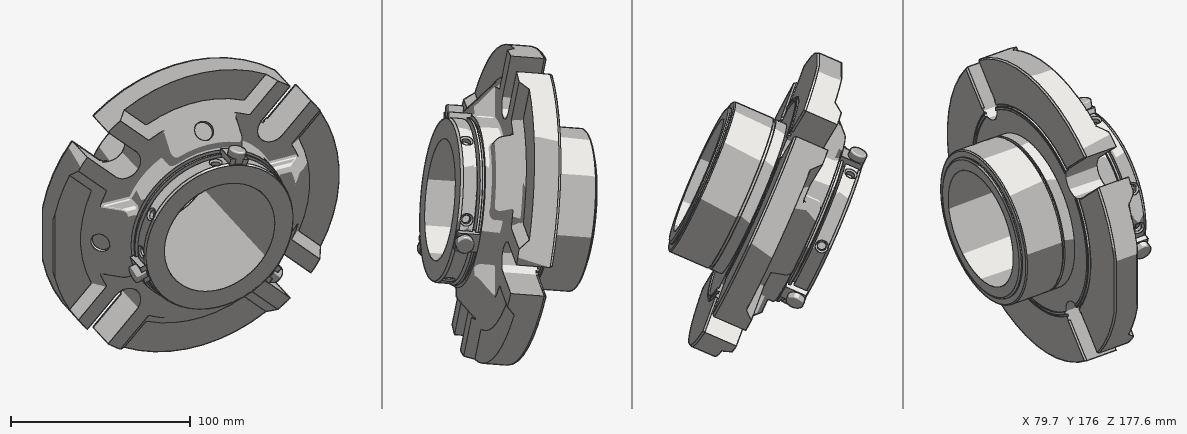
import cadquery as cq
import math

total_length = 79.7

bore_diameter = 68.0
lip_diameter = 82.5
lip_end_diameter = 80.3
lip_length = 1.6
neck_diameter = 90.7
pilot_diameter = 90.5
neck_chamfer = 0.7
neck_groove_diameter = 87.5
neck_groove_start = 25.2
neck_groove_width = 1.6

flange_radius = 88.8
flange_front = 33.2
flange_back = 48.5
flange_chamfer_length = 1.2
flange_chamfer_depth = 0.5
flat_distance = 87.2
flat_back_chamfer = 0.9
slot_angles = [45, 135, 225, 315]
slot_radius = 9.0
slot_end_distance = 63.7

gasket_inner_radius = 59.1
gasket_outer_radius = 60.7
gasket_groove_radius = 62.0
gasket_groove_depth = 0.9
gasket_height = 0.9
gasket_chamfer = 0.4

pad_face = 53.6
pad_base_half_width = 23.8
pad_face_half_width = 18.3

body_radius = 48.0
body_end = 66.0
body_root_fillet = 1.6
cone_radius_at_pad = 64.8
cone_root_fillet = 1.2
pad_corner_fillet = 1.8
lobe_half_width = 22.0
lobe_corner_fillet = 3.9
lobe_edge_fillet = 0.9
lobe_end = 65.7
short_lobe_end = 62.1
lobe_ends = {0: short_lobe_end, 90: lobe_end, 180: lobe_end, 270: lobe_end}

port_diameter = 11.0
port_depth = 2.3
ports = {90: 60.0, 180: 56.3}

spacer_end = 67.3
spacer_radius = 45.8
disc_end = 68.7
disc_diameter = 93.5
rear_ring_end = 69.5
rear_ring_diameter = 81.0
sleeve_diameter = 73.0

collar_start = 70.3
collar_diameter = 92.0
collar_taper_length = 1.6
collar_front_taper = 0.2
collar_back_taper = 0.7
screw_x = 74.7
screw_angles = [30, 90, 150, 180, 210, 270, 330]
screw_hole_diameter = 5.0
screw_sink_diameter = 7.5
screw_sink_depth = 1.0
screw_hole_depth = 3.5
slotted_screw_angle = 180
driver_slot_width = 0.9
driver_slot_depth = 0.7

clip_angles = [75, 195, 315]
clip_start = 66.4
clip_end = 79.2
clip_width = 11.2
clip_top = 48.8
clip_leg_bottom = 43.5
clip_head_diameter = 10.0
clip_head_top = 52.9
clip_head_fillet = 0.9

bore_radius = bore_diameter / 2
beyond_rim_radius = flange_radius + 1.8
collar_radius = collar_diameter / 2


def turned(points):
    """Solid of revolution about X from (x, radius) points."""
    return cq.Workplane("XY").polyline(points).close().revolve(360, (0, 0, 0), (1, 0, 0))


def ring(start, end, outer, inner=bore_radius):
    """Plain ring between two X positions."""
    return turned([(start, inner), (start, outer), (end, outer), (end, inner)])


def about_axis(solid, angle):
    """Solid turned about X by an angle in degrees."""
    return solid.rotate((0, 0, 0), (1, 0, 0), angle)


def radial_bar(points, inner, outer):
    """Bar along +Y from radius inner to outer, with an (x, z) cross-section."""
    plane = cq.Workplane("XZ", origin=(0, inner, 0))
    return plane.polyline(points).close().extrude(inner - outer)


def cone_radius(x):
    """Radius of the 45-degree gland cone."""
    return cone_radius_at_pad + pad_face - x


def make_sleeve():
    neck_radius = neck_diameter / 2
    pilot_radius = pilot_diameter / 2
    groove_radius = neck_groove_diameter / 2
    groove_end = neck_groove_start + neck_groove_width
    return turned([
        (0, bore_radius),
        (0, lip_end_diameter / 2),
        (lip_length / 2, lip_diameter / 2),
        (lip_length, lip_diameter / 2),
        (lip_length, neck_radius - neck_chamfer),
        (lip_length + neck_chamfer, neck_radius),
        (neck_groove_start, neck_radius),
        (neck_groove_start, groove_radius),
        (groove_end, groove_radius),
        (groove_end, pilot_radius),
        (flange_back, pilot_radius),
        (flange_back, sleeve_diameter / 2),
        (total_length, sleeve_diameter / 2),
        (total_length, bore_radius),
    ])


def make_pads():
    """Tapered pads across the slot directions, trimmed to the flange rim."""
    section = [
        (flange_back, -pad_base_half_width),
        (pad_face, -pad_face_half_width),
        (pad_face, pad_face_half_width),
        (flange_back, pad_base_half_width),
    ]
    bar = radial_bar(section, bore_radius, beyond_rim_radius)
    rim = ring(flange_back, pad_face, flange_radius)
    pads = about_axis(bar, slot_angles[0])
    for angle in slot_angles[1:]:
        pads = pads.union(about_axis(bar, angle))
    return pads.intersect(rim)


def make_flange():
    rim_edge = flange_radius - flange_chamfer_depth
    disc = turned([
        (flange_front, bore_radius),
        (flange_front, rim_edge),
        (flange_front + flange_chamfer_length, flange_radius),
        (flange_back, flange_radius),
        (flange_back, bore_radius),
    ])
    groove_floor = flange_front + gasket_groove_depth
    groove = ring(flange_front, groove_floor, gasket_groove_radius, gasket_inner_radius)
    gasket_top = flange_front - gasket_height
    gasket = turned([
        (gasket_top, gasket_inner_radius),
        (gasket_top, gasket_outer_radius - gasket_chamfer),
        (gasket_top + gasket_chamfer, gasket_outer_radius),
        (groove_floor, gasket_outer_radius),
        (groove_floor, gasket_inner_radius),
    ])
    flange = disc.union(make_pads()).cut(groove).union(gasket)

    flat_edge = flange_chamfer_depth - flat_distance
    beyond_rim = -beyond_rim_radius
    flat_cutter = cq.Workplane("XY").polyline([
        (flange_front, beyond_rim),
        (flange_front, flat_edge),
        (flange_front + flange_chamfer_length, -flat_distance),
        (flange_back - flat_back_chamfer, -flat_distance),
        (flange_back, flat_back_chamfer - flat_distance),
        (pad_face, flat_back_chamfer - flat_distance),
        (pad_face, beyond_rim),
    ]).close().extrude(flange_radius, both=True)
    return flange.cut(flat_cutter)


def cut_slots(solid):
    """Round-ended bolt slots, open at the rim and chamfered on the flange front."""
    cut_start = flange_front - gasket_height
    end = cq.Workplane("YZ", origin=(cut_start, slot_end_distance, 0)).circle(slot_radius)
    cutter = end.extrude(pad_face - cut_start)
    side = slot_radius + flange_chamfer_depth
    chamfered_channel = [
        (cut_start, -side),
        (flange_front, -side),
        (flange_front + flange_chamfer_length, -slot_radius),
        (pad_face, -slot_radius),
        (pad_face, slot_radius),
        (flange_front + flange_chamfer_length, slot_radius),
        (flange_front, side),
        (cut_start, side),
    ]
    cutter = cutter.union(radial_bar(chamfered_channel, slot_end_distance, beyond_rim_radius))
    for angle in slot_angles:
        solid = solid.cut(about_axis(cutter, angle))
    return solid


def make_lobe_envelope(end):
    """Block that bounds the +Y lobe, rounded at its two outboard corners."""
    length = end - flange_back
    block = cq.Workplane("XY").box(length, flange_radius, 2 * lobe_half_width)
    block = block.edges(">X and |Y").fillet(lobe_corner_fillet)
    return block.translate((flange_back + length / 2, flange_radius / 2, 0))


def is_lobe_rim(edge):
    """True for the hyperbolas in which the flat lobe flanks meet the cone."""
    return edge.geomType() == "HYPERBOLA"


def is_lobe_root(edge):
    """True for edges where lobe flanks, body wall and pad face meet each other."""
    middle = edge.positionAt(0.5)
    radius = math.hypot(middle.y, middle.z)
    box = edge.BoundingBox()
    tolerance = 0.02
    on_pad_face = abs(box.xmin - pad_face) < tolerance and abs(box.xmax - pad_face) < tolerance
    around_lobe = on_pad_face and radius < cone_radius_at_pad - lobe_edge_fillet - tolerance
    up_the_wall = box.xlen > tolerance and abs(radius - body_radius) < tolerance
    return around_lobe or up_the_wall


def make_body():
    cone = turned([
        (flange_back, bore_radius),
        (flange_back, cone_radius(flange_back) + cone_root_fillet / 2),
        (flange_back + cone_root_fillet, cone_radius(flange_back + cone_root_fillet)),
        (lobe_end, cone_radius(lobe_end)),
        (lobe_end, bore_radius),
    ])
    envelope = ring(flange_back, pad_face, flange_radius)
    for angle, end in lobe_ends.items():
        envelope = envelope.union(about_axis(make_lobe_envelope(end), angle))
    body = cone.intersect(envelope)
    body = body.edges().filter(is_lobe_rim).fillet(lobe_edge_fillet)
    body = body.union(ring(flange_back, body_end, body_radius))
    return body.edges().filter(is_lobe_root).fillet(body_root_fillet)


def is_pad_corner(edge):
    """True for edges where a sloping pad flank meets the cone."""
    box = edge.BoundingBox()
    beside_pads = box.xmin > flange_back - cone_root_fillet and box.xmax < pad_face + cone_root_fillet
    middle = edge.positionAt(0.5)
    inside_rim = math.hypot(middle.y, middle.z) < (cone_radius(flange_back) + flange_radius) / 2
    return beside_pads and inside_rim and edge.geomType() in ("ELLIPSE", "HYPERBOLA")


def make_housing():
    """Flange and gland body joined, with blended pad corners and open bolt slots."""
    housing = make_flange().union(make_body())
    housing = housing.edges().filter(is_pad_corner).fillet(pad_corner_fillet)
    return cut_slots(housing)


def make_port(x):
    """Cutter for a blind port entering the +Y side of the cone at right angles."""
    inward = cq.Vector(-1, -1, 0).normalized()
    mouth = cq.Vector(x, cone_radius(x), 0)
    return cq.Workplane(cq.Solid.makeCylinder(
        port_diameter / 2, 2 * port_depth, mouth - inward * port_depth, inward))


def make_rear_rings():
    rings = ring(body_end, spacer_end, spacer_radius)
    rings = rings.union(ring(spacer_end, disc_end, disc_diameter / 2))
    return rings.union(ring(disc_end, rear_ring_end, rear_ring_diameter / 2))


def make_collar():
    collar = turned([
        (collar_start, bore_radius),
        (collar_start, collar_radius - collar_front_taper),
        (collar_start + collar_taper_length, collar_radius),
        (total_length - collar_taper_length, collar_radius),
        (total_length, collar_radius - collar_back_taper),
        (total_length, bore_radius),
    ])
    hole = cq.Workplane("XZ", origin=(screw_x, collar_radius, 0))
    sink = hole.circle(screw_sink_diameter / 2).workplane(offset=screw_sink_depth)
    sink = sink.circle(screw_hole_diameter / 2).loft()
    cutter = hole.circle(screw_hole_diameter / 2).extrude(screw_hole_depth).union(sink)
    for angle in screw_angles:
        collar = collar.cut(about_axis(cutter, angle))
    slot_length = math.sqrt(screw_hole_diameter ** 2 - driver_slot_width ** 2)
    driver_slot = hole.rect(driver_slot_width, slot_length).extrude(screw_hole_depth + driver_slot_depth)
    return collar.cut(about_axis(driver_slot, slotted_screw_angle))


def make_clip():
    """Clip on the +Y side: a plate over the collar, a leg in the gap and a screw head."""
    half_width = clip_width / 2
    plate_section = [
        (clip_start, -half_width),
        (clip_end, -half_width),
        (clip_end, half_width),
        (clip_start, half_width),
    ]
    leg_section = [
        (disc_end, -half_width),
        (collar_start, -half_width),
        (collar_start, half_width),
        (disc_end, half_width),
    ]
    plate = radial_bar(plate_section, collar_radius - collar_back_taper, clip_top)
    leg = radial_bar(leg_section, clip_leg_bottom, clip_top)
    head = cq.Workplane("XZ", origin=(screw_x, collar_radius, 0)).circle(clip_head_diameter / 2)
    head = head.extrude(collar_radius - clip_head_top).faces(">Y").edges().fillet(clip_head_fillet)
    return plate.union(leg).union(head)


result = make_housing()
for lobe_angle, port_x in ports.items():
    result = result.cut(about_axis(make_port(port_x), lobe_angle))
result = result.union(make_sleeve()).union(make_rear_rings()).union(make_collar())
for clip_angle in clip_angles:
    result = result.union(about_axis(make_clip(), clip_angle))